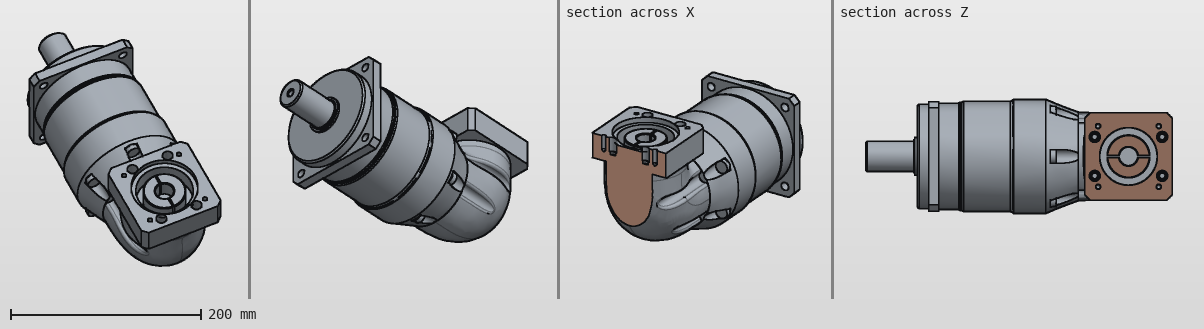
import cadquery as cq
import math


SHAFT_DIAMETER = 32.0
SHAFT_RADIUS = SHAFT_DIAMETER / 2
SHAFT_CHAMFER = 1.5
SHOULDER_X = 50.5
SHOULDER_RADIUS = 17.5
COLLAR_X = 51.5
COLLAR_RADIUS = 20.0
CENTRE_HOLE_DIAMETER = 7.5
CENTRE_HOLE_DEPTH = 19.3
CENTRE_HOLE_MOUTH = 9.3

PILOT_X = 54.0
PILOT_RADIUS = 55.0
PILOT_CHAMFER = 2.0
NECK_RADIUS = 56.0
NECK_END_X = 97.5
LIP_RADIUS = 57.0
LIP_X = 99.2
BODY_START_X = 101.0
BODY_RADIUS = 58.0
BODY_BEVEL = 2.0
BODY_END_X = 152.0
RIM_STEP_X = 154.2
RIM_STEP_RADIUS = 59.0
RIM_X = 155.5
RIM_DIAMETER = 120.0
RIM_RADIUS = RIM_DIAMETER / 2
CONE_START_X = 189.0
CONE_END_X = 223.0
CONE_END_RADIUS = 46.7

FLANGE_X = 66.0
FLANGE_THICKNESS = 11.0
FLANGE_SIDE = 115.3
FLANGE_CHAMFER = 6.8
FLANGE_HOLE_PITCH = 92.0
FLANGE_HOLE_DIAMETER = 9.0

SCREW_COUNT = 6
SCREW_CIRCLE_RADIUS = 52.8
SCREW_HEAD_RADIUS = 7.0
SCREW_X = 194.0
SCREW_HEAD_LENGTH = 6.0

ELBOW_RADIUS = 46.5
INNER_BEND_RADIUS = 4.0
BEND_X = 228.0
OUTER_BEND_X = 243.0
ELBOW_RIGHT_X = 319.0
ARC_STEPS = 6
CHANNEL_ANGLES = (30, 150, 210, 330)
CHANNEL_CIRCLE_RADIUS = 45.0
CHANNEL_RADIUS = 6.0
CHANNEL_FILLET = 3.2

OVERALL_HEIGHT = 146.8
MOTOR_TOP_Z = OVERALL_HEIGHT - RIM_RADIUS
MOTOR_THICKNESS = 29.3
MOTOR_RIGHT_X = 322.0
MOTOR_SIDE = 92.0
MOTOR_CHAMFER = 5.8
MOTOR_PILOT_DIAMETER = 70.2
MOTOR_PILOT_DEPTH = 6.0
MOTOR_BORE_DIAMETER = 60.2
MOTOR_BORE_DEPTH = 25.8
HUB_DIAMETER = 45.0
HUB_BORE_DIAMETER = 19.3
HUB_CHAMFER = 1.0
HUB_TOP_DEPTH = 6.8
HUB_SLOT_WIDTH = 2.0
SCREW_WELL_PITCH_X = 71.0
SCREW_WELL_PITCH_Y = 41.0
SCREW_WELL_DIAMETERS = (11.0, 9.3, 6.0)
SCREW_WELL_DEPTHS = (16.0, 19.3, 22.5)
TAPPED_HOLE_PITCH = 63.8
TAPPED_HOLE_DIAMETER = 4.8
TAPPED_HOLE_DEPTH = 16.0

PIVOT_Z = ELBOW_RADIUS + INNER_BEND_RADIUS
OUTER_BEND_RADIUS = ELBOW_RIGHT_X - OUTER_BEND_X
OUTER_BEND_Z = OUTER_BEND_RADIUS - ELBOW_RADIUS
NECK_PIPE_RADIUS = (ELBOW_RIGHT_X - BEND_X - INNER_BEND_RADIUS) / 2
NECK_PIPE_X = ELBOW_RIGHT_X - NECK_PIPE_RADIUS
MOTOR_X = MOTOR_RIGHT_X - MOTOR_SIDE / 2
MOTOR_BOTTOM_Z = MOTOR_TOP_Z - MOTOR_THICKNESS


def along_x(x):
    """Workplane facing +X at the given X, with local x along Y and y along Z."""
    return cq.Workplane("YZ", origin=(x, 0, 0))


def on_circle(radius, angle):
    """Point in the YZ plane at a radius and an angle from +Y, in degrees."""
    turn = math.radians(angle)
    return radius * math.cos(turn), radius * math.sin(turn)


def make_housing():
    """Shaft, collar, pilot, stepped body and cone as one turned profile."""
    profile = [
        (0, 0),
        (0, SHAFT_RADIUS - SHAFT_CHAMFER),
        (SHAFT_CHAMFER, SHAFT_RADIUS),
        (SHOULDER_X, SHAFT_RADIUS),
        (SHOULDER_X, SHOULDER_RADIUS),
        (COLLAR_X, SHOULDER_RADIUS),
        (COLLAR_X, COLLAR_RADIUS),
        (PILOT_X, COLLAR_RADIUS),
        (PILOT_X, PILOT_RADIUS - PILOT_CHAMFER),
        (PILOT_X + PILOT_CHAMFER, PILOT_RADIUS),
        (FLANGE_X, PILOT_RADIUS),
        (FLANGE_X, NECK_RADIUS),
        (NECK_END_X, NECK_RADIUS),
        (LIP_X, LIP_RADIUS),
        (BODY_START_X, LIP_RADIUS),
        (BODY_START_X + BODY_BEVEL, BODY_RADIUS),
        (BODY_END_X, BODY_RADIUS),
        (RIM_STEP_X, RIM_STEP_RADIUS),
        (RIM_X, RIM_RADIUS),
        (CONE_START_X, RIM_RADIUS),
        (CONE_END_X, CONE_END_RADIUS),
        (CONE_END_X, 0),
    ]
    return cq.Workplane("XZ").polyline(profile).close().revolve(360, (0, 0), (1, 0))


def make_output_flange():
    """Square plate with chamfered corners, and the cutters for its four holes."""
    plate = (
        along_x(FLANGE_X)
        .rect(FLANGE_SIDE, FLANGE_SIDE)
        .extrude(FLANGE_THICKNESS)
        .edges("|X")
        .chamfer(FLANGE_CHAMFER)
    )
    holes = (
        along_x(FLANGE_X)
        .rect(FLANGE_HOLE_PITCH, FLANGE_HOLE_PITCH, forConstruction=True)
        .vertices()
        .circle(FLANGE_HOLE_DIAMETER / 2)
        .extrude(FLANGE_THICKNESS)
    )
    return plate, holes


def make_centre_hole():
    """Blind hole in the shaft tip with a countersunk mouth and a conical bottom."""
    mouth = CENTRE_HOLE_MOUTH / 2
    bore = CENTRE_HOLE_DIAMETER / 2
    profile = [
        (0, 0),
        (0, mouth),
        (mouth - bore, bore),
        (CENTRE_HOLE_DEPTH, bore),
        (CENTRE_HOLE_DEPTH + bore, 0),
    ]
    return cq.Workplane("XZ").polyline(profile).close().revolve(360, (0, 0), (1, 0))


def make_screw_pocket(angle):
    """Round-bottomed slot for a screw head, open outwards, up to the cone end."""
    length = CONE_END_X - SCREW_X
    opening = 2 * SCREW_HEAD_RADIUS
    bottom = along_x(SCREW_X).center(SCREW_CIRCLE_RADIUS, 0).circle(SCREW_HEAD_RADIUS).extrude(length)
    mouth = (
        along_x(SCREW_X)
        .center(SCREW_CIRCLE_RADIUS + SCREW_HEAD_RADIUS, 0)
        .rect(opening, opening)
        .extrude(length)
    )
    return bottom.union(mouth).rotate((0, 0, 0), (1, 0, 0), angle)


def make_screw_head(angle):
    """Cylindrical screw head sitting at the front wall of its pocket."""
    return (
        along_x(SCREW_X)
        .center(*on_circle(SCREW_CIRCLE_RADIUS, angle))
        .circle(SCREW_HEAD_RADIUS)
        .extrude(SCREW_HEAD_LENGTH)
    )


def outer_bend_points():
    """Points (x, z) of the outer elbow outline: both ends and along its arc."""
    points = [(BEND_X, -ELBOW_RADIUS)]
    for i in range(ARC_STEPS + 1):
        turn = math.pi / 2 * i / ARC_STEPS
        x = OUTER_BEND_X + OUTER_BEND_RADIUS * math.sin(turn)
        z = OUTER_BEND_Z - OUTER_BEND_RADIUS * math.cos(turn)
        points.append((x, z))
    points.append((ELBOW_RIGHT_X, PIVOT_Z))
    return points


def elbow_section(outer_x, outer_z):
    """Elliptical section in the plane through the bend pivot and an outer point."""
    reach = math.hypot(outer_x - BEND_X, outer_z - PIVOT_Z)
    across = (outer_x - BEND_X) / reach
    down = (PIVOT_Z - outer_z) / reach
    turned = math.atan2(across, down) / (math.pi / 2)
    middle = (reach + INNER_BEND_RADIUS) / 2
    half_depth = (reach - INNER_BEND_RADIUS) / 2
    half_width = ELBOW_RADIUS + (NECK_PIPE_RADIUS - ELBOW_RADIUS) * turned
    plane = cq.Plane(
        origin=(BEND_X + middle * across, 0, PIVOT_Z - middle * down),
        xDir=(across, 0, -down),
        normal=(down, 0, across),
    )
    return cq.Workplane(plane).ellipse(half_depth, half_width).val()


def make_elbow():
    """Bend with a tight inner and a wide outer radius, two channels along each side."""
    inlet_section = along_x(CONE_END_X).ellipse(ELBOW_RADIUS, ELBOW_RADIUS).val()
    bend_sections = [elbow_section(x, z) for x, z in outer_bend_points()]
    elbow = cq.Workplane(cq.Solid.makeLoft([inlet_section] + bend_sections))
    for angle in CHANNEL_ANGLES:
        channel = (
            along_x(CONE_END_X)
            .center(*on_circle(CHANNEL_CIRCLE_RADIUS, angle))
            .circle(CHANNEL_RADIUS)
            .extrude(MOTOR_RIGHT_X - CONE_END_X)
        )
        elbow = elbow.cut(channel)
    elbow = elbow.faces("%CYLINDER").edges("%BSPLINE").fillet(CHANNEL_FILLET)
    neck = (
        cq.Workplane("XY", origin=(NECK_PIPE_X, 0, PIVOT_Z))
        .circle(NECK_PIPE_RADIUS)
        .extrude(MOTOR_BOTTOM_Z - PIVOT_Z)
    )
    return elbow.union(neck)


def motor_plane(depth=0.0):
    """Workplane facing +Z, centred on the motor flange, below its top face."""
    return cq.Workplane("XY", origin=(MOTOR_X, 0, MOTOR_TOP_Z - depth))


def drilled(pitch_x, pitch_y, diameter, depth):
    """Four flat-bottomed drillings on a rectangle, down from the top face."""
    centres = motor_plane().rect(pitch_x, pitch_y, forConstruction=True).vertices()
    return centres.circle(diameter / 2).extrude(-depth)


def make_tapped_holes():
    """Four blind holes with 90 degree conical bottoms."""
    radius = TAPPED_HOLE_DIAMETER / 2
    tip = cq.Solid.makeCone(radius, 0, radius, dir=cq.Vector(0, 0, -1))
    tips = (
        motor_plane(TAPPED_HOLE_DEPTH)
        .rect(TAPPED_HOLE_PITCH, TAPPED_HOLE_PITCH, forConstruction=True)
        .vertices()
        .eachpoint(lambda place: tip.moved(place))
    )
    shafts = drilled(TAPPED_HOLE_PITCH, TAPPED_HOLE_PITCH, TAPPED_HOLE_DIAMETER, TAPPED_HOLE_DEPTH)
    return shafts.union(tips)


def make_motor_flange():
    """Square block with a stepped bore, a split clamping hub and its holes."""
    block = motor_plane().rect(MOTOR_SIDE, MOTOR_SIDE).extrude(-MOTOR_THICKNESS)
    block = block.edges("|Z").chamfer(MOTOR_CHAMFER)
    block = block.cut(motor_plane().circle(MOTOR_PILOT_DIAMETER / 2).extrude(-MOTOR_PILOT_DEPTH))
    block = block.cut(motor_plane().circle(MOTOR_BORE_DIAMETER / 2).extrude(-MOTOR_BORE_DEPTH))

    hub_height = MOTOR_BORE_DEPTH - HUB_TOP_DEPTH
    hub = (
        motor_plane(MOTOR_BORE_DEPTH)
        .circle(HUB_DIAMETER / 2)
        .circle(HUB_BORE_DIAMETER / 2)
        .extrude(hub_height)
        .faces(">Z")
        .chamfer(HUB_CHAMFER)
    )
    hub_slot = motor_plane(HUB_TOP_DEPTH).rect(HUB_DIAMETER, HUB_SLOT_WIDTH).extrude(-hub_height)
    block = block.union(hub.cut(hub_slot))

    for diameter, depth in zip(SCREW_WELL_DIAMETERS, SCREW_WELL_DEPTHS):
        block = block.cut(drilled(SCREW_WELL_PITCH_X, SCREW_WELL_PITCH_Y, diameter, depth))
    return block.cut(make_tapped_holes())


flange_plate, flange_holes = make_output_flange()
housing = make_housing().union(flange_plate).cut(flange_holes).cut(make_centre_hole())
screw_angles = [90 + i * 360 / SCREW_COUNT for i in range(SCREW_COUNT)]
for screw_angle in screw_angles:
    housing = housing.cut(make_screw_pocket(screw_angle))
for screw_angle in screw_angles:
    housing = housing.union(make_screw_head(screw_angle))

result = housing.union(make_elbow()).union(make_motor_flange())